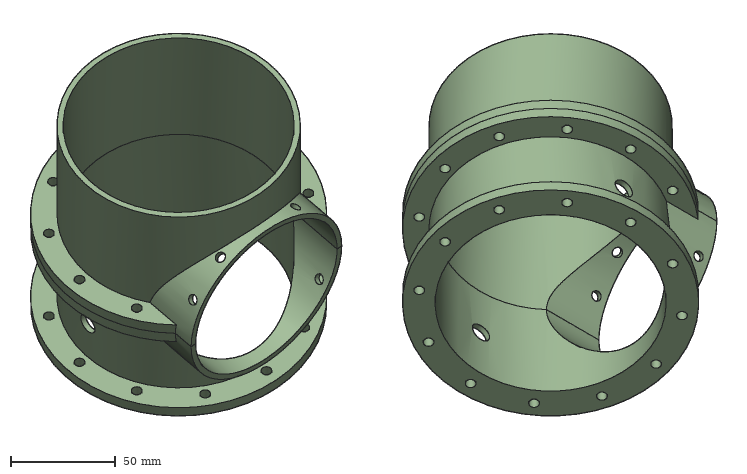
import cadquery as cq
import math

tube_outer_radius = 58.0
tube_inner_radius = 55.0
lower_height = 60.0
upper_height = 70.0
split_height = lower_height

flange_radius = 70.5
flange_thickness = 6.0
flange_hole_diameter = 5.1
bolt_circle_radius = 63.0
flange_hole_count = 12
full_circle_degrees = 360

branch_outer_radius = 48.0
branch_inner_radius = 45.0
branch_end = 63.0
branch_hole_diameter = 5.1
branch_hole_position = 57.0
upper_branch_hole_angles = [30, 60, 120, 150]
lower_branch_hole_angles = [-30, -150]

cross_hole_diameter = 10.2
cross_hole_height = 30.0


def cylinder_z(radius, bottom, height):
    """Cylinder on the main axis."""
    return cq.Workplane("XY").workplane(offset=bottom).circle(radius).extrude(height)


def branch_cylinder(radius, end):
    """Cylinder on the branch axis, from the main axis out to the given X."""
    return cq.Workplane("YZ").center(0, split_height).circle(radius).extrude(end)


def flange(bottom):
    """Plain disc with a full ring of bolt holes."""
    disc = cylinder_z(flange_radius, bottom, flange_thickness)
    holes = (
        cq.Workplane("XY")
        .workplane(offset=bottom)
        .polarArray(bolt_circle_radius, 0, full_circle_degrees, flange_hole_count)
        .circle(flange_hole_diameter / 2)
        .extrude(flange_thickness)
    )
    return disc.cut(holes)


def half_branch(bottom, height):
    """The solid branch cylinder between two heights."""
    side = 2 * flange_radius
    slab = cq.Workplane("XY").box(side, side, height, centered=(True, True, False))
    return branch_cylinder(branch_outer_radius, branch_end).intersect(slab.translate((0, 0, bottom)))


def branch_hole(angle):
    """Radial drill through the branch wall; the angle is measured from +Y toward +Z."""
    direction = cq.Vector(0, math.cos(math.radians(angle)), math.sin(math.radians(angle)))
    start = cq.Vector(branch_hole_position, 0, split_height)
    drill = cq.Solid.makeCylinder(branch_hole_diameter / 2, flange_radius, start, direction)
    return cq.Workplane(obj=drill)


def tee_half(bottom, height, split_flange_bottom, branch_hole_angles):
    """Half of the tee: tube, split flange and half branch, bored out and drilled."""
    half = cylinder_z(tube_outer_radius, bottom, height)
    half = half.union(flange(split_flange_bottom))
    half = half.union(half_branch(bottom, height))
    half = half.cut(cylinder_z(tube_inner_radius, bottom, height))
    half = half.cut(branch_cylinder(branch_inner_radius, flange_radius))
    for angle in branch_hole_angles:
        half = half.cut(branch_hole(angle))
    return half


def make_upper_half():
    """Upper body: the taller tube, with four holes in its half of the branch."""
    return tee_half(split_height, upper_height, split_height, upper_branch_hole_angles)


def make_lower_half():
    """Lower body: adds the foot flange and the cross hole."""
    half = tee_half(0, lower_height, split_height - flange_thickness, lower_branch_hole_angles)
    foot = flange(0).cut(cylinder_z(tube_inner_radius, 0, flange_thickness))
    cross_hole = (
        cq.Workplane("XZ")
        .center(0, cross_hole_height)
        .circle(cross_hole_diameter / 2)
        .extrude(flange_radius, both=True)
    )
    return half.union(foot).cut(cross_hole)


upper_half = make_upper_half()
lower_half = make_lower_half()

result = cq.Compound.makeCompound([lower_half.val(), upper_half.val()])